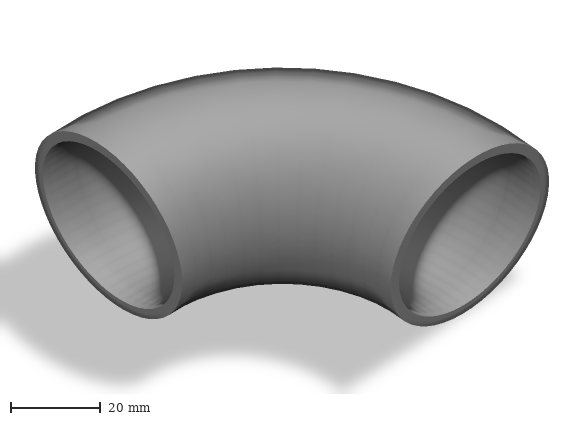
import cadquery as cq

overall_length = 81.15
outer_diameter = 48.3
wall_thickness = 2.6

outer_radius = outer_diameter / 2
inner_radius = outer_radius - wall_thickness
bend_radius = overall_length - outer_radius
bend_angle = 90

mouth_ring = (
    cq.Workplane("XZ")
    .center(-bend_radius, 0)
    .circle(outer_radius)
    .circle(inner_radius)
)

axis_start = (bend_radius, 0)
axis_end = (bend_radius, -1)
result = mouth_ring.revolve(bend_angle, axis_start, axis_end)